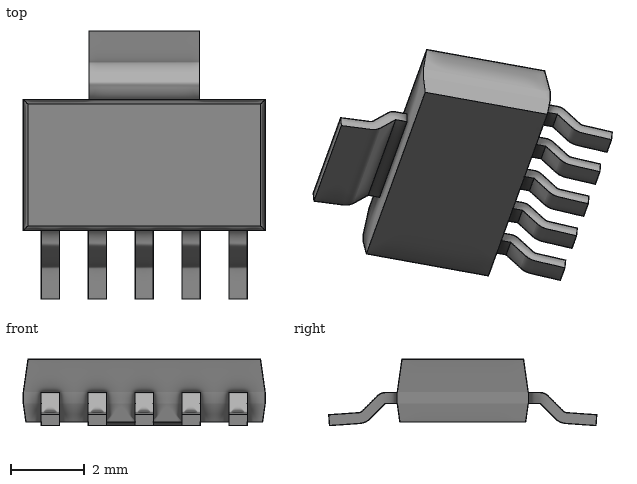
import cadquery as cq
import math

body_length = 6.55
body_depth = 3.55
standoff = 0.10
body_top = 1.80
draft_angle = 8.0

lead_thickness = 0.30
band_bottom = 0.60
band_top = band_bottom + lead_thickness

tip_to_tip = 7.26
lead_count = 5
lead_pitch = 1.27
lead_width = 0.50
tab_width = 3.00

slope_angle = 45.0
foot_angle = 4.0
foot_length = 0.82
foot_bend_radius = 0.15


def tapered_slab(bottom, height):
    """Slab as wide as the body at its base, narrowing along the extrusion by the draft angle."""
    return (
        cq.Workplane("XY", origin=(0, 0, bottom))
        .rect(body_length, body_depth)
        .extrude(height, taper=draft_angle)
    )


def make_body():
    band = (
        cq.Workplane("XY", origin=(0, 0, band_bottom))
        .rect(body_length, body_depth)
        .extrude(lead_thickness)
    )
    upper = tapered_slab(band_top, body_top - band_top)
    lower = tapered_slab(band_bottom, standoff - band_bottom)
    return band.union(upper).union(lower)


def around(centre, radius, angle):
    """Point at a signed radius from a bend centre, at an angle in degrees from upright."""
    tilt = math.radians(angle)
    return (centre[0] + radius * math.sin(tilt), centre[1] + radius * math.cos(tilt))


def make_lead(width):
    """Gull-wing strip leaving the +Y face of the body, centred on X = 0."""
    body_face = body_depth / 2
    reach = tip_to_tip / 2
    slope = math.radians(slope_angle)
    foot = math.radians(foot_angle)
    outer_radius = foot_bend_radius + lead_thickness

    foot_centre = (
        reach - foot_length * math.cos(foot) + foot_bend_radius * math.sin(foot),
        foot_length * math.sin(foot) + outer_radius * math.cos(foot),
    )
    rise = foot_centre[1] - band_bottom
    shoulder = (
        foot_centre[0] - (outer_radius - rise * math.cos(slope)) / math.sin(slope),
        band_bottom,
    )

    upper_toe = (reach, lead_thickness * math.cos(foot))
    lower_toe = (reach - lead_thickness * math.sin(foot), 0)
    shoulder_middle = slope_angle / 2
    foot_middle = (slope_angle + foot_angle) / 2

    return (
        cq.Workplane("YZ")
        .moveTo(body_face, band_bottom)
        .lineTo(body_face, band_top)
        .lineTo(*around(shoulder, lead_thickness, 0))
        .threePointArc(
            around(shoulder, lead_thickness, shoulder_middle),
            around(shoulder, lead_thickness, slope_angle),
        )
        .lineTo(*around(foot_centre, -foot_bend_radius, slope_angle))
        .threePointArc(
            around(foot_centre, -foot_bend_radius, foot_middle),
            around(foot_centre, -foot_bend_radius, foot_angle),
        )
        .lineTo(*upper_toe)
        .lineTo(*lower_toe)
        .lineTo(*around(foot_centre, -outer_radius, foot_angle))
        .threePointArc(
            around(foot_centre, -outer_radius, foot_middle),
            around(foot_centre, -outer_radius, slope_angle),
        )
        .lineTo(*shoulder)
        .close()
        .extrude(width / 2, both=True)
    )


result = make_body().union(make_lead(tab_width))

lead = make_lead(lead_width).mirror("XZ")
for index in range(lead_count):
    lead_x = (index - (lead_count - 1) / 2) * lead_pitch
    result = result.union(lead.translate((lead_x, 0, 0)))